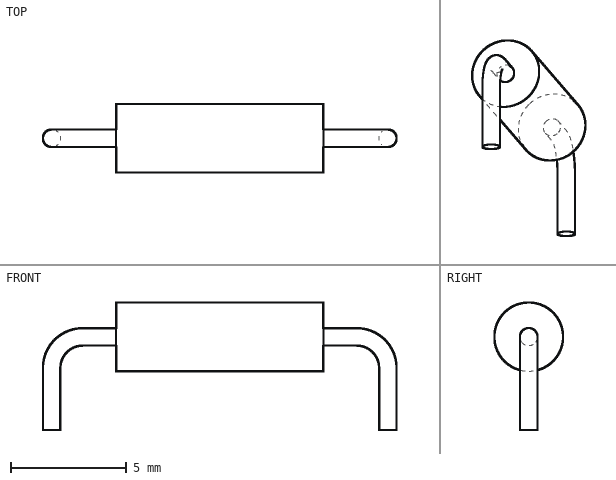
import cadquery as cq

overall_length = 15.36
overall_height = 5.55
body_diameter = 3.0
body_length = 9.0
lead_diameter = 0.77
bend_radius = 1.35

body_end = body_length / 2
leg_x = (overall_length - lead_diameter) / 2
leg_bottom = body_diameter / 2 - overall_height
bend_start_x = leg_x - bend_radius


def make_body():
    """Plain cylindrical component body lying along X."""
    return cq.Workplane("YZ", origin=(-body_end, 0, 0)).circle(body_diameter / 2).extrude(body_length)


def make_lead(side):
    """Round wire from a body end face, bent down into a leg; side is -1 or +1 along X."""
    centreline = (
        cq.Workplane("XZ")
        .moveTo(side * body_end, 0)
        .lineTo(side * bend_start_x, 0)
        .tangentArcPoint((side * leg_x, -bend_radius), relative=False)
        .lineTo(side * leg_x, leg_bottom)
    )
    section = cq.Workplane("YZ", origin=(side * body_end, 0, 0)).circle(lead_diameter / 2)
    return section.sweep(centreline)


body = make_body()
leads = [make_lead(side) for side in (-1, 1)]

result = cq.Compound.makeCompound([body.val(), *[lead.val() for lead in leads]])